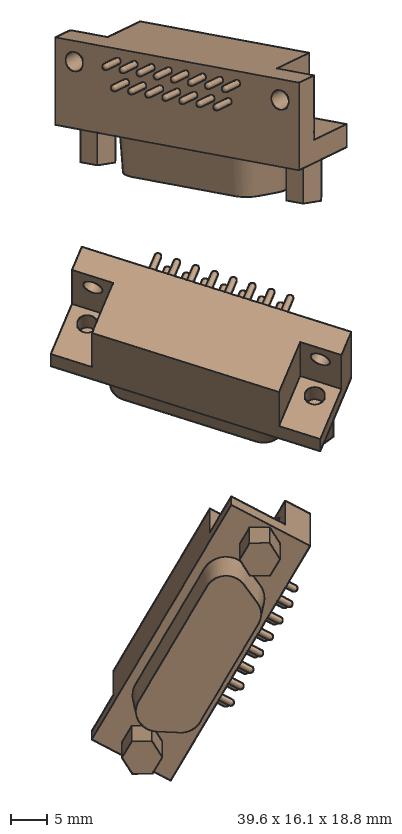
import cadquery as cq
import math

length = 39.62
depth = 12.5
height = 12.68
notch_length = 6.05
wall_thickness = 3.95
ledge_thickness = 3.35

front_y = -depth / 2
mount_x = 16.7
hole_diameter = 2.8
hole_drop = 3.0

shell_drop = 6.15
shell_width = 26.4
shell_depth = 9.85
shell_corner_radius = 3.5
shell_front_flat = 16.55
shell_taper = 4.5
hex_across_flats = 4.85

pin_diameter = 1.0
pin_tip_radius = 0.48
pin_length = 3.55
pin_pitch = 2.77
pin_offset_x = 0.05
pin_row_counts = (8, 7)
first_row_drop = 1.75
row_spacing = 2.85


def make_housing():
    body = cq.Workplane("XY").box(length, depth, height, centered=(True, True, False))
    notch_depth = depth - wall_thickness
    for side in (-1, 1):
        notch = cq.Workplane("XY").box(
            notch_length, notch_depth, height - ledge_thickness, centered=(True, False, False)
        )
        notch_x = side * (length - notch_length) / 2
        body = body.cut(notch.translate((notch_x, front_y + wall_thickness, ledge_thickness)))
    return body


def make_mounting_holes():
    """Cutters through the upright walls, along Y."""
    hole_z = height - hole_drop
    return (
        cq.Workplane("XZ", origin=(0, front_y + wall_thickness, hole_z))
        .pushPoints([(-mount_x, 0), (mount_x, 0)])
        .circle(hole_diameter / 2)
        .extrude(wall_thickness)
    )


def make_screw_holes():
    """Cutters through the end ledges, along Z, closed below by the hex posts."""
    return (
        cq.Workplane("XY")
        .pushPoints([(-mount_x, 0), (mount_x, 0)])
        .circle(hole_diameter / 2)
        .extrude(ledge_thickness)
    )


def make_shell():
    """Drafted D-shaped plug, wider at the back (+Y), with four equal corner arcs."""
    radius = shell_corner_radius
    front_x = shell_front_flat / 2
    back_x = shell_width / 2 - radius
    edge_y = shell_depth / 2
    centre_y = edge_y - radius
    slant = math.atan2(back_x - front_x, 2 * centre_y)

    def on_arc(centre_x, arc_centre_y, angle):
        return (centre_x + radius * math.cos(angle), arc_centre_y + radius * math.sin(angle))

    def mirrored(point):
        return (-point[0], point[1])

    front_mid = on_arc(front_x, -centre_y, -(math.pi / 2 + slant) / 2)
    front_end = on_arc(front_x, -centre_y, -slant)
    back_start = on_arc(back_x, centre_y, -slant)
    back_mid = on_arc(back_x, centre_y, (math.pi / 2 - slant) / 2)
    return (
        cq.Workplane("XY")
        .moveTo(-front_x, -edge_y)
        .lineTo(front_x, -edge_y)
        .threePointArc(front_mid, front_end)
        .lineTo(*back_start)
        .threePointArc(back_mid, (back_x, edge_y))
        .lineTo(-back_x, edge_y)
        .threePointArc(mirrored(back_mid), mirrored(back_start))
        .lineTo(*mirrored(front_end))
        .threePointArc(mirrored(front_mid), (-front_x, -edge_y))
        .close()
        .extrude(-shell_drop, taper=shell_taper)
    )


def make_hex_posts():
    across_corners = hex_across_flats / math.cos(math.pi / 6)
    return (
        cq.Workplane("XY")
        .pushPoints([(-mount_x, 0), (mount_x, 0)])
        .polygon(6, across_corners)
        .extrude(-shell_drop)
    )


def make_pins():
    """Two staggered rows of round-tipped pins standing out of the front face."""
    points = []
    for row, count in enumerate(pin_row_counts):
        pin_z = height - first_row_drop - row * row_spacing
        for index in range(count):
            points.append(((index - (count - 1) / 2) * pin_pitch + pin_offset_x, pin_z))
    pins = (
        cq.Workplane("XZ", origin=(0, front_y, 0))
        .pushPoints(points)
        .circle(pin_diameter / 2)
        .extrude(pin_length)
    )
    return pins.faces("<Y").edges().fillet(pin_tip_radius)


result = (
    make_housing()
    .cut(make_mounting_holes())
    .cut(make_screw_holes())
    .union(make_shell())
    .union(make_hex_posts())
    .union(make_pins())
)